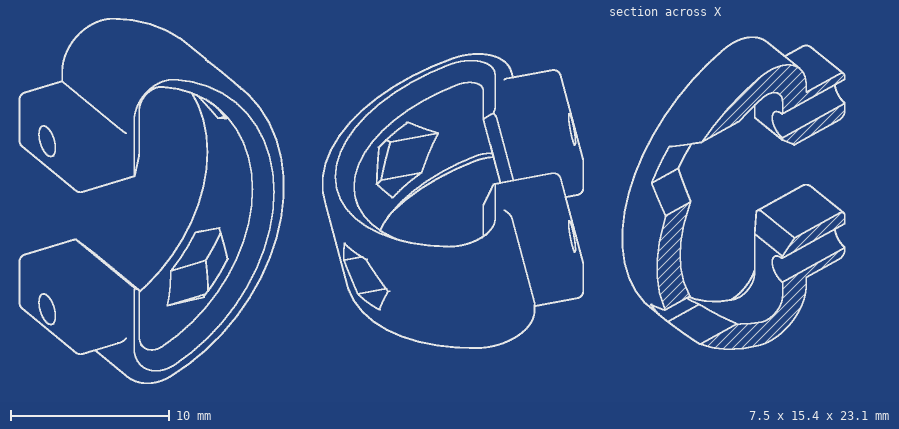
import cadquery as cq
import math

width = 7.5
height = 23.07
depth = 15.45
pad_height = 3.95
pad_gap = 7.9
pad_center_z = 0.07
hole_diameter = 2.0
hole_spacing = 12.27
hex_spacing = 12.55
hex_across_flats = 3.92
shoulder_y = 3.15
flat_wall = 1.98
bend_wall = 1.98
back_wall = 1.94
outer_bend_radius = 2.98
inner_bend_radius = 1.27
inner_chamfer = 1.0
edge_fillet = 0.48
tolerance = 0.002

gap_top = pad_center_z + pad_gap / 2
gap_bottom = pad_center_z - pad_gap / 2
pad_top = gap_top + pad_height
pad_bottom = gap_bottom - pad_height

inner_y = shoulder_y + flat_wall
outer_back_y = depth
inner_back_y = depth - back_wall
outer_apex_z = height / 2
inner_apex_z = outer_apex_z - bend_wall


def back_arc_radius(start_y, back_y, apex_z, bend):
    """Radius of the back arc, centred on Z = 0, that runs tangent into a bend at each end."""
    reach = back_y - start_y - 2 * bend
    center_distance = (reach ** 2 + (apex_z - bend) ** 2) / (2 * reach)
    return center_distance + bend


outer_back_radius = back_arc_radius(shoulder_y, outer_back_y, outer_apex_z, outer_bend_radius)
inner_back_radius = back_arc_radius(inner_y, inner_back_y, inner_apex_z, inner_bend_radius)


def draw_curve(sketch, start_y, back_y, apex_z, bend, back, side):
    """Draw bend, back arc and bend, from the straight wall on the given side to the other one."""
    bend_center_y = start_y + bend
    bend_center_z = apex_z - bend
    back_center_y = back_y - back
    joint_angle = math.atan2(bend_center_z, bend_center_y - back_center_y)
    joint_y = back_center_y + back * math.cos(joint_angle)
    joint_z = back * math.sin(joint_angle)
    middle_angle = (joint_angle + math.pi) / 2
    bend_y = bend_center_y + bend * math.cos(middle_angle)
    bend_z = bend_center_z + bend * math.sin(middle_angle)
    return (
        sketch.threePointArc((bend_y, side * bend_z), (joint_y, side * joint_z))
        .threePointArc((back_y, 0), (joint_y, -side * joint_z))
        .threePointArc((bend_y, -side * bend_z), (start_y, -side * bend_center_z))
    )


def make_band():
    """C-shaped profile of the band and both pads, extruded along X."""
    profile = (
        cq.Workplane("YZ", origin=(-width / 2, 0, 0))
        .moveTo(0, gap_top)
        .lineTo(0, pad_top)
        .lineTo(shoulder_y, pad_top)
        .lineTo(shoulder_y, outer_apex_z - outer_bend_radius)
    )
    profile = draw_curve(
        profile, shoulder_y, outer_back_y, outer_apex_z, outer_bend_radius, outer_back_radius, side=1
    )
    profile = (
        profile.lineTo(shoulder_y, pad_bottom)
        .lineTo(0, pad_bottom)
        .lineTo(0, gap_bottom)
        .lineTo(inner_y, gap_bottom)
        .lineTo(inner_y, inner_bend_radius - inner_apex_z)
    )
    profile = draw_curve(
        profile, inner_y, inner_back_y, inner_apex_z, inner_bend_radius, inner_back_radius, side=-1
    )
    return profile.lineTo(inner_y, gap_top).close().extrude(width)


def is_arc(edge, radii):
    """True for a circular edge with one of the given radii."""
    return edge.geomType() == "CIRCLE" and any(abs(edge.radius() - r) < tolerance for r in radii)


def is_inner(edge):
    """True for the edges around the inner face of the band."""
    middle = edge.positionAt(0.5)
    on_side = abs(abs(middle.x) - width / 2) < tolerance
    on_flat = abs(middle.y - inner_y) < tolerance
    at_gap = min(abs(middle.z - gap_top), abs(middle.z - gap_bottom)) < tolerance
    on_curve = is_arc(edge, (inner_bend_radius, inner_back_radius))
    return (on_side and (on_flat or on_curve)) or (on_flat and at_gap)


def is_outer(edge):
    """True for the pad and band edges to round, leaving the two concave shoulder corners sharp."""
    middle = edge.positionAt(0.5)
    on_side = abs(abs(middle.x) - width / 2) < tolerance
    on_pad_face = abs(middle.y) < tolerance
    on_band = is_arc(edge, (outer_bend_radius, outer_back_radius))
    on_pad = middle.y < shoulder_y + tolerance
    return on_pad_face or (on_side and (on_pad or on_band))


def break_edges(body):
    """Chamfer around the inner face and round the outer edges."""
    inner_edges = [edge for edge in body.edges().vals() if is_inner(edge)]
    chamfered = body.newObject(inner_edges).chamfer(inner_chamfer)
    outer_edges = [edge for edge in chamfered.edges().vals() if is_outer(edge)]
    return chamfered.newObject(outer_edges).fillet(edge_fillet)


def cut_screw_openings(body):
    """Round hole through each pad and, roughly in line with it, a hexagonal opening through the band."""
    hex_diameter = 2 * hex_across_flats / math.sqrt(3)
    for side in (1, -1):
        hole_z = pad_center_z + side * hole_spacing / 2
        hex_z = pad_center_z + side * hex_spacing / 2
        hole = cq.Workplane("XZ", origin=(0, 0, hole_z)).circle(hole_diameter / 2).extrude(-depth / 2)
        hexagon = (
            cq.Workplane("XZ", origin=(0, depth / 2, hex_z))
            .transformed(rotate=(0, 0, 90))
            .polygon(6, hex_diameter)
            .extrude(-depth)
        )
        body = body.cut(hole).cut(hexagon)
    return body


result = cut_screw_openings(break_edges(make_band()))